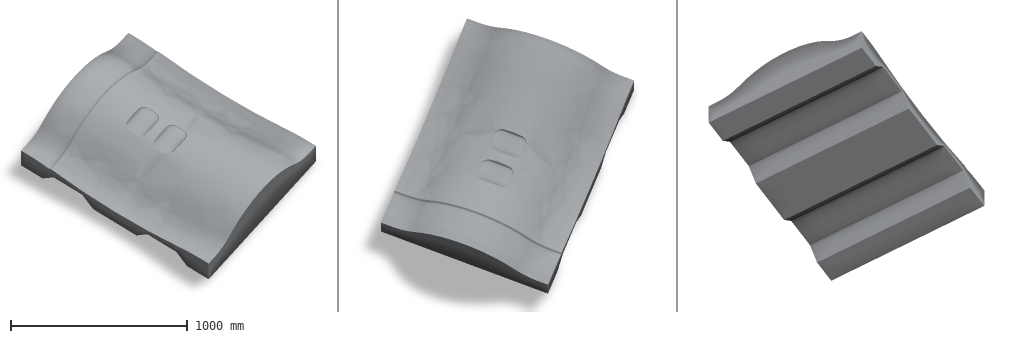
import math

import cadquery as cq

LENGTH = 1320.8
WIDTH = 1016.0
HEIGHT = 306.05

HUMP_RISE = 152.4
HUMP_HALF_WIDTH = 447.0
CROWN_RADIUS = 508.0

SADDLE_DEPTH = 50.8
SAG_HALF_LENGTH = 457.2
FLAT_HALF_LENGTH = 609.6

STEP_DEPTH = 8.5
RAMP_FOOT_X = -459.2
RAMP_TOP_X = -450.2

NOTCH_DEPTH = 76.2
FOOT_LENGTH = 152.4
NOTCH_OUTER_X = LENGTH / 2 - FOOT_LENGTH
NOTCH_INNER_X = FOOT_LENGTH

POCKET_CENTRES_X = (-183.0, 14.0)
POCKET_FLOOR_LENGTH = 122.0
POCKET_FLOOR_WIDTH = 189.0
POCKET_CORNER_RADIUS = 38.1
POCKET_DEPTH = 13.0
POCKET_WALL_TAPER = 30.0
POCKET_FLOOR_FILLET = 6.35
POCKET_CLEARANCE = 20.0

HALF_L = LENGTH / 2
FLANGE_Z = HEIGHT - HUMP_RISE
JOIN_ANGLE = 2 * math.atan(HUMP_RISE / HUMP_HALF_WIDTH)
HOLLOW_RADIUS = HUMP_HALF_WIDTH / math.sin(JOIN_ANGLE) - CROWN_RADIUS
CROWN_CENTRE_Z = HEIGHT - CROWN_RADIUS
HOLLOW_CENTRE_Z = FLANGE_Z + HOLLOW_RADIUS

SAG_ANGLE = 2 * math.atan(SADDLE_DEPTH / FLAT_HALF_LENGTH)
SAG_RADIUS = SAG_HALF_LENGTH / math.sin(SAG_ANGLE)
EASE_RADIUS = (FLAT_HALF_LENGTH - SAG_HALF_LENGTH) / math.sin(SAG_ANGLE)


def sink(x):
    """Depth of the saddle curve below the flat end level, measured normal to the skin."""
    x = abs(x)
    if x >= FLAT_HALF_LENGTH:
        return 0.0
    if x >= SAG_HALF_LENGTH:
        run = FLAT_HALF_LENGTH - x
        return EASE_RADIUS - math.sqrt(EASE_RADIUS**2 - run**2)
    return SADDLE_DEPTH - SAG_RADIUS + math.sqrt(SAG_RADIUS**2 - x**2)


def saddle_face(base, level, growth):
    """Area in XZ from the height `base` to the saddle curve, whose flat end is at `level`.

    The curve moves by `growth` (+1 or -1) times the sink.
    """

    def high(x):
        return (x, level + growth * sink(x))

    def low(x):
        return (x, level + growth * (sink(x) + STEP_DEPTH))

    ease_mid_x = (FLAT_HALF_LENGTH + SAG_HALF_LENGTH) / 2
    return (
        cq.Workplane("XZ")
        .moveTo(-HALF_L, base)
        .lineTo(*low(-HALF_L))
        .lineTo(*low(-FLAT_HALF_LENGTH))
        .threePointArc(low(-ease_mid_x), low(RAMP_FOOT_X))
        .lineTo(*high(RAMP_TOP_X))
        .threePointArc(high(0), high(SAG_HALF_LENGTH))
        .threePointArc(high(ease_mid_x), high(FLAT_HALF_LENGTH))
        .lineTo(*high(HALF_L))
        .lineTo(HALF_L, base)
        .close()
    )


def lathe(radius, growth, y, z):
    """Saddle curve turned about a lengthwise axis through (y, z)."""
    turned = saddle_face(0, radius, growth).revolve(360, (0, 0), (1, 0))
    return turned.translate((0, y, z))


def long_prism(points):
    """Prism over the full length with the given (y, z) corners."""
    return cq.Workplane("YZ").polyline(points).close().extrude(HALF_L, both=True)


def make_crown():
    wedge = long_prism(
        [
            (0, CROWN_CENTRE_Z),
            (HUMP_HALF_WIDTH, HOLLOW_CENTRE_Z),
            (-HUMP_HALF_WIDTH, HOLLOW_CENTRE_Z),
        ]
    )
    return wedge.intersect(lathe(CROWN_RADIUS, -1, 0, CROWN_CENTRE_Z))


def make_hollow(side):
    y = side * HUMP_HALF_WIDTH
    wedge = long_prism([(0, CROWN_CENTRE_Z), (y, HOLLOW_CENTRE_Z), (y, CROWN_CENTRE_Z)])
    return wedge.cut(lathe(HOLLOW_RADIUS, 1, y, HOLLOW_CENTRE_Z))


def make_flange(side):
    flange_width = WIDTH / 2 - HUMP_HALF_WIDTH
    centre_y = side * (HUMP_HALF_WIDTH + flange_width / 2)
    flange = saddle_face(CROWN_CENTRE_Z, FLANGE_Z, -1).extrude(flange_width / 2, both=True)
    return flange.translate((0, centre_y, 0))


def side_envelope():
    """Everything above the notched underside, as an XZ outline over the full width."""
    outline = [(HALF_L, HEIGHT), (-HALF_L, HEIGHT), (-HALF_L, 0)]
    outline += [
        (-NOTCH_OUTER_X, 0),
        (-NOTCH_OUTER_X + NOTCH_DEPTH, NOTCH_DEPTH),
        (-NOTCH_INNER_X - NOTCH_DEPTH, NOTCH_DEPTH),
        (-NOTCH_INNER_X, 0),
        (NOTCH_INNER_X, 0),
        (NOTCH_INNER_X + NOTCH_DEPTH, NOTCH_DEPTH),
        (NOTCH_OUTER_X - NOTCH_DEPTH, NOTCH_DEPTH),
        (NOTCH_OUTER_X, 0),
        (HALF_L, 0),
    ]
    return cq.Workplane("XZ").polyline(outline).close().extrude(WIDTH / 2, both=True)


def make_pocket(centre_x):
    """Flaring pocket cutter, square to the crown's ridge at `centre_x`."""
    floor = cq.Sketch().rect(POCKET_FLOOR_LENGTH, POCKET_FLOOR_WIDTH)
    floor = floor.vertices().fillet(POCKET_CORNER_RADIUS)
    cutter = (
        cq.Workplane("XY")
        .placeSketch(floor)
        .extrude(POCKET_DEPTH + POCKET_CLEARANCE, taper=-POCKET_WALL_TAPER)
        .faces("<Z")
        .edges()
        .fillet(POCKET_FLOOR_FILLET)
        .translate((0, 0, -POCKET_DEPTH))
    )
    tilt = -math.degrees(math.asin(centre_x / SAG_RADIUS))
    cutter = cutter.rotate((0, 0, 0), (0, 1, 0), tilt)
    return cutter.translate((centre_x, 0, HEIGHT - sink(centre_x)))


body = make_crown()
for side in (-1, 1):
    body = body.union(make_hollow(side)).union(make_flange(side))
body = body.intersect(side_envelope())
for centre_x in POCKET_CENTRES_X:
    body = body.cut(make_pocket(centre_x))

result = body